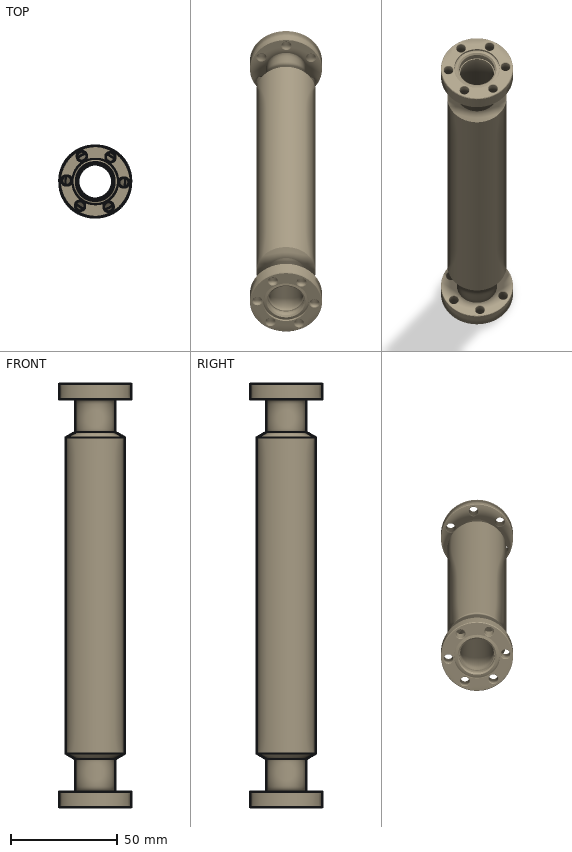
import cadquery as cq

TOTAL_LENGTH = 200.0
FLANGE_DIAMETER = 34.0
FLANGE_THICKNESS = 7.5
FACE_RIM_CHAMFER = 0.3
BACK_RIM_CHAMFER = 0.2
HALF_LENGTH = TOTAL_LENGTH / 2

BOLT_COUNT = 6
BOLT_CIRCLE_DIAMETER = 27.0
BOLT_HOLE_DIAMETER = 4.4
HOLE_CHAMFER = 0.2
TOP_BOLT_ANGLE = -62.0
BOTTOM_BOLT_ANGLE = -90.0

RECESS_DIAMETER = 21.5
RECESS_DEPTH = 1.2
KNIFE_DIAMETER = 18.3
KNIFE_DEPTH = 0.7
THROAT_DIAMETER = 16.8
THROAT_DEPTH = 1.4

BORE_DIAMETER = 16.0
TUBE_DIAMETER = 19.0
TUBE_END_DEPTH = 4.5
TUBE_LENGTH = TOTAL_LENGTH - 2 * TUBE_END_DEPTH

SLEEVE_DIAMETER = 28.0
SLEEVE_END_DISTANCE = 22.9
CONE_HEIGHT = 2.6
SLEEVE_HALF_LENGTH = HALF_LENGTH - SLEEVE_END_DISTANCE


def revolve_profile(profile):
    """Solid of revolution about Z from closed (radius, height) points."""
    return cq.Workplane("XZ").polyline(profile).close().revolve(360, (0, 0), (0, 1))


def make_bolt_holes():
    """Ring of flange bolt holes, chamfered at both mouths; the first lies on +X."""
    hole_radius = BOLT_HOLE_DIAMETER / 2
    mouth_radius = hole_radius + HOLE_CHAMFER
    hole_profile = [
        (0, 0),
        (mouth_radius, 0),
        (hole_radius, -HOLE_CHAMFER),
        (hole_radius, -FLANGE_THICKNESS + HOLE_CHAMFER),
        (mouth_radius, -FLANGE_THICKNESS),
        (0, -FLANGE_THICKNESS),
    ]
    hole = revolve_profile(hole_profile).val()
    return (
        cq.Workplane("XY")
        .polarArray(BOLT_CIRCLE_DIAMETER / 2, 0, 360, BOLT_COUNT)
        .eachpoint(lambda place: hole.moved(place))
    )


def make_flange(bolt_angle):
    """Flange with its sealing face at Z = 0 and its back below it."""
    profile = [
        (THROAT_DIAMETER / 2, -TUBE_END_DEPTH),
        (THROAT_DIAMETER / 2, -THROAT_DEPTH),
        (KNIFE_DIAMETER / 2, -KNIFE_DEPTH),
        (RECESS_DIAMETER / 2, -RECESS_DEPTH),
        (RECESS_DIAMETER / 2, 0),
        (FLANGE_DIAMETER / 2 - FACE_RIM_CHAMFER, 0),
        (FLANGE_DIAMETER / 2, -FACE_RIM_CHAMFER),
        (FLANGE_DIAMETER / 2, -FLANGE_THICKNESS + BACK_RIM_CHAMFER),
        (FLANGE_DIAMETER / 2 - BACK_RIM_CHAMFER, -FLANGE_THICKNESS),
        (TUBE_DIAMETER / 2, -FLANGE_THICKNESS),
        (TUBE_DIAMETER / 2, -TUBE_END_DEPTH),
    ]
    disc = revolve_profile(profile)
    return disc.cut(make_bolt_holes()).rotate((0, 0, 0), (0, 0, 1), bolt_angle)


def make_tube():
    """Plain tube whose ends sit in the back recesses of the flanges."""
    return (
        cq.Workplane("XY")
        .circle(TUBE_DIAMETER / 2)
        .circle(BORE_DIAMETER / 2)
        .extrude(TUBE_LENGTH / 2, both=True)
    )


def make_sleeve():
    """Thick sleeve around the tube, tapered to the tube at both ends."""
    straight_half = SLEEVE_HALF_LENGTH - CONE_HEIGHT
    profile = [
        (TUBE_DIAMETER / 2, -SLEEVE_HALF_LENGTH),
        (SLEEVE_DIAMETER / 2, -straight_half),
        (SLEEVE_DIAMETER / 2, straight_half),
        (TUBE_DIAMETER / 2, SLEEVE_HALF_LENGTH),
    ]
    return revolve_profile(profile)


top_flange = make_flange(TOP_BOLT_ANGLE).translate((0, 0, HALF_LENGTH))
bottom_flange = (
    make_flange(BOTTOM_BOLT_ANGLE)
    .rotate((0, 0, 0), (0, 1, 0), 180)
    .translate((0, 0, -HALF_LENGTH))
)
tube = make_tube()
sleeve = make_sleeve()

result = cq.Compound.makeCompound([top_flange.val(), bottom_flange.val(), tube.val(), sleeve.val()])